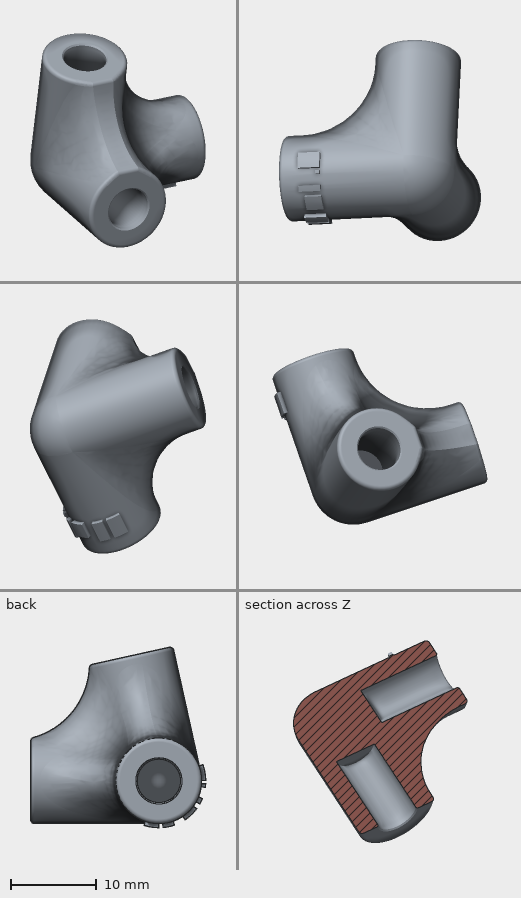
import cadquery as cq
import math

arm_radius = 5.0
arm_length = 15.0
tilt_angle = 12.5
web_radius = 8.87
overlong_arm = 1.5 * arm_length
trim_radius = 2 * arm_radius
rim_radius = 0.49
bore_radius = 2.54
bore_depth = 10.25
bore_chamfer = 0.17

mark_height = 0.49
mark_inset = 0.25
mark_base = 10.0
tall_mark = 2.6
short_mark = 2.0
dot_mark = 0.5
marks = [
    (159.6, 179.8, tall_mark),
    (183.5, 188.1, dot_mark),
    (202.0, 209.5, tall_mark),
    (216.3, 236.1, short_mark),
    (250.4, 265.0, tall_mark),
    (270.0, 288.5, tall_mark),
]

tilt = math.radians(tilt_angle)
arm_directions = [
    cq.Vector(1, 0, 0),
    cq.Vector(0, 1, 0),
    cq.Vector(math.sin(tilt), 0, math.cos(tilt)),
]


def make_rod(direction, radius, start, length):
    """Solid cylinder along an arm's axis, starting at a distance from the joint."""
    return cq.Workplane(cq.Solid.makeCylinder(radius, length, direction * start, direction))


def make_blended_hub():
    """Three overlong arms and a ball at the joint, with the arms blended into each other."""
    hub = cq.Workplane("XY").sphere(arm_radius)
    for direction in arm_directions:
        hub = hub.union(make_rod(direction, arm_radius, 0, overlong_arm))
    return hub.edges("%ELLIPSE").fillet(web_radius)


def trim_arms(body):
    """Cut every arm square at its finished length; a blend that runs past the end is cut too."""
    for direction in arm_directions:
        body = body.cut(make_rod(direction, trim_radius, arm_length, overlong_arm))
    return body


def hollow_narrow_web(body):
    """Lower the crest of the web between the X and upright arms so that it meets both rims.

    These arms stand closer than a right angle, so their blend would end outside the rims. The
    crest becomes an arc through the nearest points of the two rims.
    """
    half_angle = math.radians(90 - tilt_angle) / 2
    rim_distance = arm_length * math.cos(half_angle) + arm_radius * math.sin(half_angle)
    rim_half_gap = arm_length * math.sin(half_angle) - arm_radius * math.cos(half_angle)
    axis_distance = rim_distance + math.sqrt(web_radius**2 - rim_half_gap**2)
    axis_start = cq.Vector(
        axis_distance * math.cos(half_angle),
        -arm_radius,
        axis_distance * math.sin(half_angle),
    )
    cutter = cq.Solid.makeCylinder(web_radius, 2 * arm_radius, axis_start, cq.Vector(0, 1, 0))
    return body.cut(cq.Workplane(cutter))


def round_rims(body):
    """Round the outer edge of every arm end."""
    for direction in arm_directions:
        body = body.faces(cq.DirectionMinMaxSelector(direction, True)).edges().fillet(rim_radius)
    return body


def bore_arms(body):
    """Blind bore with a chamfered mouth in every arm end."""
    for direction in arm_directions:
        body = body.cut(make_rod(direction, bore_radius, arm_length - bore_depth, bore_depth))
        mouth_radius = bore_radius + bore_chamfer
        mouth = cq.Solid.makeCone(
            bore_radius,
            mouth_radius,
            bore_chamfer,
            direction * (arm_length - bore_chamfer),
            direction,
        )
        body = body.cut(cq.Workplane(mouth))
    return body


def make_mark(start_angle, end_angle, width):
    """Plain raised pad wrapped around the Y arm between two angles."""
    inner = arm_radius - mark_inset
    outer = arm_radius + mark_height
    pad = (
        cq.Workplane("XY")
        .moveTo(inner, mark_base)
        .rect(outer - inner, width, centered=False)
        .revolve(end_angle - start_angle, (0, 0), (0, -1))
    )
    return pad.rotate((0, 0, 0), (0, -1, 0), start_angle)


result = bore_arms(round_rims(hollow_narrow_web(trim_arms(make_blended_hub()))))
for start_angle, end_angle, width in marks:
    result = result.union(make_mark(start_angle, end_angle, width))